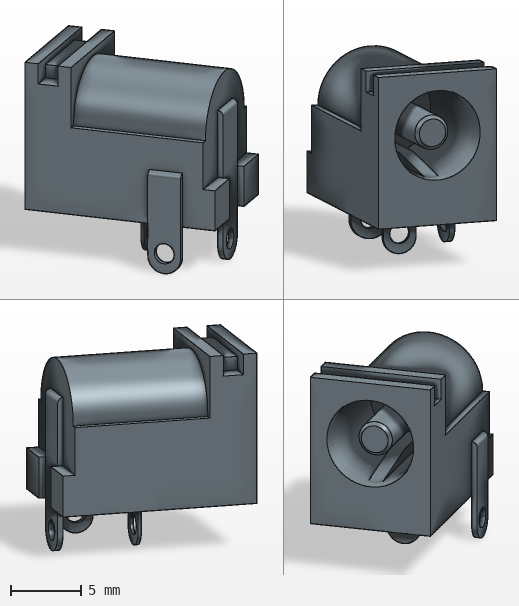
import cadquery as cq


housing_length = 14.4
housing_width = 8.99
housing_height = 11.0
frame_wall = 1.0
slot_length = 1.5
collar_end = frame_wall + slot_length + frame_wall
slot_floor_z = 9.5
slot_block_width = 6.0
foot_height = 3.0

axis_z = 6.5
barrel_radius = 4.0
barrel_end = 13.5
bore_diameter = 6.5
bore_depth = 10
pin_diameter = 2.5
pin_start = 1.0
pin_chamfer = 0.25
leaf_width = 1.06
leaf_start = 1.0
leaf_crest_x = 6.3
leaf_crest_z = 4.12

terminal_drop = 3.5
hole_diameter = 1.5
hole_z = -2.0
terminal_thickness = 0.4
rear_terminal_width = 3.0
rear_terminal_top = 8.0
side_terminal_width = 2.5
side_terminal_x = 10.7
side_terminal_top = 4.05
middle_terminal_width = 2.5
middle_terminal_thickness = 0.25
middle_terminal_x = 7.6
middle_terminal_root = 1.0


def block(x_start, x_end, width, z_start, z_end):
    """Box centred on the Y = 0 plane."""
    size = (x_end - x_start, width, z_end - z_start)
    return cq.Workplane("XY").box(*size, centered=(False, True, False)).translate((x_start, 0, z_start))


def rod(x_start, x_end, diameter):
    """Cylinder along the socket axis."""
    plane = cq.Workplane("YZ", origin=(x_start, 0, axis_z))
    return plane.circle(diameter / 2).extrude(x_end - x_start)


def terminal(width, top, thickness):
    """Upright strip, round at the bottom and drilled; its thickness starts at X = 0."""
    radius = width / 2
    return (
        cq.Workplane("YZ")
        .moveTo(-radius, top)
        .lineTo(-radius, radius - terminal_drop)
        .threePointArc((0, -terminal_drop), (radius, radius - terminal_drop))
        .lineTo(radius, top)
        .close()
        .moveTo(0, hole_z)
        .circle(hole_diameter / 2)
        .extrude(thickness)
    )


def bent_terminal(width, top):
    """Terminal whose outer top edge is rounded over its full thickness."""
    strip = terminal(width, top, terminal_thickness)
    corner = block(0, terminal_thickness, width, top - terminal_thickness, top)
    bend = (
        cq.Workplane("XZ", origin=(0, width / 2, top - terminal_thickness))
        .circle(terminal_thickness)
        .extrude(width)
    )
    return strip.cut(corner.cut(bend))


def make_housing():
    front = block(0, collar_end, housing_width, 0, housing_height)
    lower = block(0, barrel_end, housing_width, 0, axis_z)
    foot = block(barrel_end, housing_length, housing_width, 0, foot_height)
    foot_notch = block(barrel_end, housing_length, rear_terminal_width, 0, foot_height)
    slot_end = frame_wall + slot_length
    slot = block(frame_wall, slot_end, housing_width, slot_floor_z, housing_height)
    slot_block = block(frame_wall, slot_end, slot_block_width, slot_floor_z, axis_z + barrel_radius)
    barrel = rod(collar_end, barrel_end, 2 * barrel_radius)
    frame = front.cut(slot).union(slot_block)
    return frame.union(lower).union(barrel).union(foot.cut(foot_notch))


def make_leaf():
    """Contact leaf that rises from the bottom of the bore and then runs level to its floor."""
    bore_bottom = axis_z - bore_diameter / 2
    root_z = bore_bottom - terminal_thickness
    return (
        cq.Workplane("XZ", origin=(0, leaf_width / 2, 0))
        .moveTo(leaf_start, root_z)
        .lineTo(leaf_start, bore_bottom)
        .lineTo(leaf_crest_x, leaf_crest_z)
        .lineTo(bore_depth, leaf_crest_z)
        .lineTo(bore_depth, root_z)
        .close()
        .extrude(leaf_width)
    )


bore = rod(0, bore_depth, bore_diameter)
pin = rod(pin_start, bore_depth, pin_diameter).faces("<X").chamfer(pin_chamfer)

rear_terminal = bent_terminal(rear_terminal_width, rear_terminal_top).translate((barrel_end, 0, 0))
side_terminal = (
    bent_terminal(side_terminal_width, side_terminal_top)
    .rotate((0, 0, 0), (0, 0, 1), -90)
    .translate((side_terminal_x, -housing_width / 2, 0))
)
middle_terminal = terminal(
    middle_terminal_width, middle_terminal_root, middle_terminal_thickness
).translate((middle_terminal_x, 0, 0))

result = make_housing().cut(bore)
for piece in (pin, make_leaf(), rear_terminal, side_terminal, middle_terminal):
    result = result.union(piece)